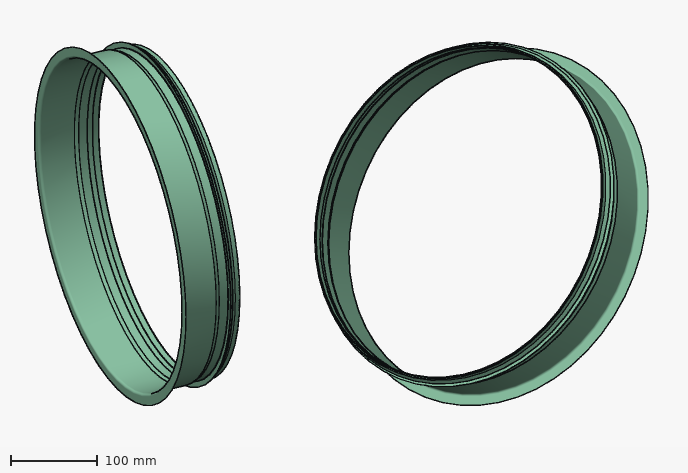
import cadquery as cq

LENGTH = 75.0
FRONT = -LENGTH / 2
BACK = LENGTH / 2

SHEET = 0.5
FLANGE_RADIUS = 425 / 2
BARREL_RADIUS = 398.5 / 2
NECK_RADIUS = 395.2 / 2
NECK_INNER_RADIUS = NECK_RADIUS - SHEET
BEND_INNER_RADIUS = 2.5
BARREL_END = FRONT + 44.5
NECK_START = FRONT + 49.5
CAP_WALL = 0.5
NECK_BACK = BACK - CAP_WALL

CAP_OUTER_RADIUS = 398.2 / 2
CAP_INNER_RADIUS = 393.0 / 2
CAP_INNER_START = BACK - 8.0
CAP_OUTER_START = BACK - 6.0
GASKET_FRONT = FRONT + 60.0
LIP_THICKNESS = 1.0
FRONT_LIP_RADIUS = 409.3 / 2
REAR_LIP_RADIUS = 404.0 / 2
REAR_LIP_TIP = FRONT + 63.8
REAR_LIP_SLANT = 3.0
BASE_RADIUS = 396.0 / 2


def revolve_about_y(profile):
    return profile.close().revolve(360, (0, 0, 0), (0, 1, 0))


def make_collar():
    """Flange, barrel and tapered neck in one thin sheet."""
    barrel_inner = BARREL_RADIUS - SHEET
    bend_outer_radius = BEND_INNER_RADIUS + SHEET
    bend_radius_centre = BARREL_RADIUS + BEND_INNER_RADIUS
    bend_station = FRONT + bend_outer_radius
    profile = (
        cq.Workplane("XY")
        .moveTo(FLANGE_RADIUS, FRONT)
        .lineTo(FLANGE_RADIUS, FRONT + SHEET)
        .lineTo(bend_radius_centre, FRONT + SHEET)
        .radiusArc((BARREL_RADIUS, bend_station), BEND_INNER_RADIUS)
        .lineTo(BARREL_RADIUS, BARREL_END)
        .lineTo(NECK_RADIUS, NECK_START)
        .lineTo(NECK_RADIUS, NECK_BACK)
        .lineTo(NECK_INNER_RADIUS, NECK_BACK)
        .lineTo(NECK_INNER_RADIUS, NECK_START)
        .lineTo(barrel_inner, BARREL_END)
        .lineTo(barrel_inner, bend_station)
        .radiusArc((bend_radius_centre, FRONT), -bend_outer_radius)
    )
    return revolve_about_y(profile)


def make_gasket():
    """Strip on the neck with a straight front lip, a slanted rear lip and a hooked back end."""
    lip_back = GASKET_FRONT + LIP_THICKNESS
    rear_lip_root = REAR_LIP_TIP + REAR_LIP_SLANT
    profile = (
        cq.Workplane("XY")
        .moveTo(NECK_RADIUS, GASKET_FRONT)
        .lineTo(FRONT_LIP_RADIUS, GASKET_FRONT)
        .lineTo(FRONT_LIP_RADIUS, lip_back)
        .lineTo(BASE_RADIUS, lip_back)
        .lineTo(BASE_RADIUS, rear_lip_root)
        .lineTo(REAR_LIP_RADIUS, REAR_LIP_TIP)
        .lineTo(REAR_LIP_RADIUS, REAR_LIP_TIP + LIP_THICKNESS)
        .lineTo(CAP_OUTER_RADIUS, CAP_OUTER_START)
        .lineTo(CAP_OUTER_RADIUS, BACK)
        .lineTo(CAP_INNER_RADIUS, BACK)
        .lineTo(CAP_INNER_RADIUS, CAP_INNER_START)
        .lineTo(NECK_INNER_RADIUS, CAP_INNER_START)
        .lineTo(NECK_INNER_RADIUS, NECK_BACK)
        .lineTo(NECK_RADIUS, NECK_BACK)
    )
    return revolve_about_y(profile)


collar = make_collar()
gasket = make_gasket()

result = cq.Compound.makeCompound([collar.val(), gasket.val()])